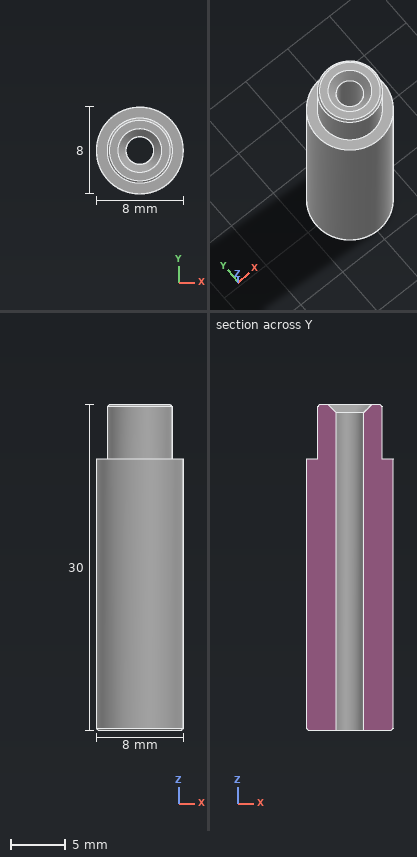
import cadquery as cq

total_length = 30.0
body_diameter = 8.0
spigot_diameter = 6.0
spigot_length = 5.0
edge_chamfer = 0.2
bore_diameter = 2.52
countersink_diameter = 4.02
countersink_angle = 90.0

body_length = total_length - spigot_length

body = (
    cq.Workplane("XY")
    .circle(body_diameter / 2)
    .extrude(body_length)
    .faces("<Z")
    .chamfer(edge_chamfer)
)

spigot = (
    cq.Workplane("XY", origin=(0, 0, body_length))
    .circle(spigot_diameter / 2)
    .extrude(spigot_length)
    .faces(">Z")
    .chamfer(edge_chamfer)
)

result = (
    body.union(spigot)
    .faces(">Z")
    .workplane(origin=(0, 0, total_length))
    .cskHole(bore_diameter, countersink_diameter, countersink_angle)
)